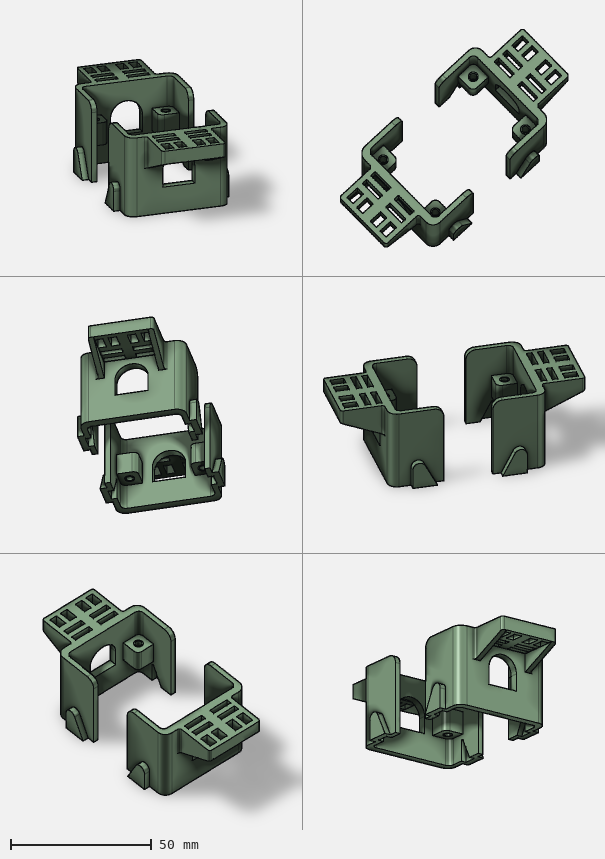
import cadquery as cq
import math

length = 90.0
width = 43.5
height = 30.0
bracket_gap = 18.0

channel_length = 20.0
lug_thickness = 2.4
channel_width = width - 2 * lug_thickness
end_wall_thickness = 3.1
arm_thickness = 2.1
outer_corner_radius = 3.5
inner_corner_radius = 2.0
arm_tip_radius = 3.5

arm_tip_x = -bracket_gap / 2
wall_outer_x = arm_tip_x - channel_length
wall_inner_x = wall_outer_x + end_wall_thickness
channel_half = channel_width / 2
arm_inner_y = channel_half - arm_thickness

plate_outer_x = -length / 2
plate_width = 24.0
plate_thickness = 5.0
rib_height = 12.0
rib_thickness = 2.1
plate_corner_radius = 1.0
root_fillet_radius = 1.0

opening_margin = 2.0
port_length = 5.0
port_width = 3.1
slot_width = 2.1
slot_pitch = 4.1
slot_offset = 9.5
opening_outer_y = plate_width / 2 - opening_margin
slot_length = opening_outer_y - opening_margin

window_width = 12.1
window_sill = 10.0
window_top = 22.5

lug_outer_x = -21.1
lug_tip_x = -12.0
lug_height = 10.0
lug_radius = 2.4
lug_wall = 2.0

post_size = 7.65
post_bottom = 10.0
post_height = 8.5
post_corner_radius = 2.0
insert_diameter = 3.5
insert_bore = 2.5
post_center_x = wall_inner_x + post_size / 2
post_center_y = arm_inner_y - post_size / 2


def block(x_min, x_max, y_min, y_max, z_min, z_max):
    """Box given by its limits along each axis."""
    size = (x_max - x_min, y_max - y_min, z_max - z_min)
    return cq.Workplane("XY").box(*size, centered=False).translate((x_min, y_min, z_min))


def channel():
    """End wall with two arms, open toward +X, with rounded corners."""
    outside = block(wall_outer_x, arm_tip_x, -channel_half, channel_half, 0, height)
    outside = outside.edges("|Z and <X").fillet(outer_corner_radius)
    outside = outside.edges("|Y and >X and >Z").fillet(arm_tip_radius)
    inside = block(wall_inner_x, arm_tip_x, -arm_inner_y, arm_inner_y, 0, height)
    inside = inside.edges("|Z and <X").fillet(inner_corner_radius)
    return outside.cut(inside)


def strap_plate():
    """Plate with tapered side ribs, reaching into the end wall."""
    half = plate_width / 2
    root_x = wall_outer_x + end_wall_thickness / 2
    plan = block(plate_outer_x, root_x, -half, half, 0, height)
    plan = plan.edges("|Z and <X").fillet(plate_corner_radius)
    for side in (1, -1):
        corner = (wall_outer_x, side * half)
        fillet_web = (
            cq.Workplane("XY")
            .moveTo(*corner)
            .line(-root_fillet_radius, 0)
            .radiusArc(
                (wall_outer_x, side * (half + root_fillet_radius)),
                -side * root_fillet_radius,
            )
            .close()
            .extrude(height)
        )
        plan = plan.union(fillet_web)
    side_profile = (
        cq.Workplane("XZ")
        .moveTo(plate_outer_x, height)
        .lineTo(plate_outer_x, height - plate_thickness)
        .lineTo(wall_outer_x, height - rib_height)
        .lineTo(root_x, height - rib_height)
        .lineTo(root_x, height)
        .close()
        .extrude(width / 2, both=True)
    )
    rib_inner_y = half - rib_thickness
    rib_gap = block(
        plate_outer_x, wall_outer_x, -rib_inner_y, rib_inner_y, 0, height - plate_thickness
    )
    return plan.intersect(side_profile).cut(rib_gap)


def plate_openings():
    """Four rectangular ports and four slots, all through the plate."""
    floor_z = height - plate_thickness
    port_x = plate_outer_x + opening_margin
    slot_start_x = plate_outer_x + slot_offset
    openings = cq.Workplane("XY")
    for y_min in (
        opening_margin,
        opening_outer_y - port_width,
        -opening_margin - port_width,
        -opening_outer_y,
    ):
        openings = openings.add(
            block(port_x, port_x + port_length, y_min, y_min + port_width, floor_z, height)
        )
    for slot_x in (slot_start_x, slot_start_x + slot_pitch):
        for y_min in (opening_margin, -opening_outer_y):
            openings = openings.add(
                block(slot_x, slot_x + slot_width, y_min, y_min + slot_length, floor_z, height)
            )
    return openings.combine()


def window():
    """Arched opening through the end wall."""
    radius = window_width / 2
    spring_z = window_top - radius
    return (
        cq.Workplane("YZ", origin=(wall_outer_x, 0, 0))
        .moveTo(-radius, window_sill)
        .lineTo(radius, window_sill)
        .lineTo(radius, spring_z)
        .threePointArc((0, window_top), (-radius, spring_z))
        .close()
        .extrude(end_wall_thickness)
    )


def wedge(inset, y_min, y_max):
    """Round-topped wedge: the lug outline moved inward by inset, between two Y limits."""
    radius = lug_radius - inset
    center_x = lug_outer_x + lug_radius
    center_z = lug_height - lug_radius
    run = lug_tip_x - center_x
    reach = math.hypot(run, center_z)
    slope_normal = math.acos(lug_radius / reach) - math.atan2(center_z, run)
    foot_x = lug_tip_x - inset / math.cos(slope_normal)
    tangent = (
        center_x + radius * math.cos(slope_normal),
        center_z + radius * math.sin(slope_normal),
    )
    return (
        cq.Workplane("XZ", origin=(0, y_max, 0))
        .moveTo(center_x - radius, 0)
        .lineTo(center_x - radius, center_z)
        .threePointArc((center_x, center_z + radius), tangent)
        .lineTo(foot_x, 0)
        .close()
        .extrude(y_max - y_min)
    )


def post():
    """Screw post in the +Y corner of the channel, drilled for its insert."""
    body = block(
        wall_inner_x - end_wall_thickness / 2,
        wall_inner_x + post_size,
        arm_inner_y - post_size,
        arm_inner_y + arm_thickness / 2,
        post_bottom,
        post_bottom + post_height,
    )
    body = body.edges("|Z and >X and <Y").fillet(post_corner_radius)
    hole = cq.Workplane("XY", origin=(post_center_x, post_center_y, post_bottom))
    return body.cut(hole.circle(insert_diameter / 2).extrude(post_height))


def left_bracket():
    """Bracket on the -X side."""
    body = channel().union(strap_plate()).cut(plate_openings()).cut(window())
    lug = wedge(0, channel_half, width / 2)
    recess = wedge(lug_wall, arm_inner_y, channel_half)
    for corner_part in (lug, post()):
        body = body.union(corner_part).union(corner_part.mirror("XZ"))
    return body.cut(recess).cut(recess.mirror("XZ"))


def insert(x, y):
    """Plain tube filling the hole of one screw post."""
    return (
        cq.Workplane("XY", origin=(x, y, post_bottom))
        .circle(insert_diameter / 2)
        .circle(insert_bore / 2)
        .extrude(post_height)
    )


bracket = left_bracket()
brackets = [bracket, bracket.mirror("YZ")]

inserts = []
for x in (-post_center_x, post_center_x):
    for y in (-post_center_y, post_center_y):
        inserts.append(insert(x, y))

result = cq.Compound.makeCompound([body.solids().val() for body in brackets + inserts])